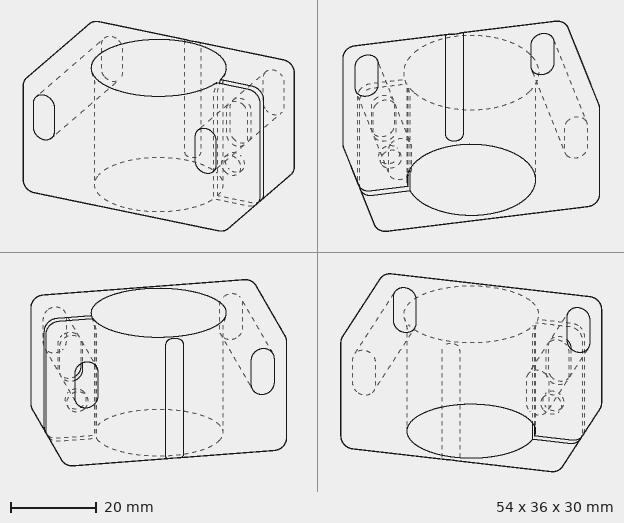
import cadquery as cq

length = 54.0
depth = 36.0
height = 30.0
corner_radius = 3.0
face_edge_radius = 1.5

bore_diameter = 30.0
lead_in_diameter = 31.55
lead_in_depth = 2.95

split_width = 1.95
split_y = -0.45

screw_diameter = 5.0
screw_x = 19.5
screw_z = -5.5

slot_width = 5.5
slot_height = 11.5
slot_x = 21.0
slot_z = 5.5

groove_diameter = 5.0
groove_depth = 1.25


def make_block():
    block = cq.Workplane("XY").box(length, depth, height)
    block = block.edges("|Y").fillet(corner_radius)
    return block.faces("<Y or >Y").edges().fillet(face_edge_radius)


def make_bore():
    bore = cq.Workplane("XY").circle(bore_diameter / 2).extrude(height, both=True)
    lead_in = cq.Solid.makeCone(
        bore_diameter / 2,
        lead_in_diameter / 2,
        lead_in_depth,
        pnt=cq.Vector(0, 0, height / 2 - lead_in_depth),
    )
    return bore.union(cq.Workplane(lead_in))


def make_split():
    split = cq.Workplane("XY").box(length, split_width, height, centered=(False, True, True))
    return split.translate((0, split_y, 0))


def make_screw():
    screw = cq.Workplane("XZ").center(screw_x, screw_z).circle(screw_diameter / 2)
    return screw.extrude(2 * split_width).translate((0, split_y + split_width, 0))


def make_slots():
    slots = cq.Workplane("XZ").pushPoints([(-slot_x, slot_z), (slot_x, slot_z)])
    return slots.slot2D(slot_height, slot_width, 90).extrude(depth, both=True)


def make_groove():
    groove_y = depth / 2 + groove_diameter / 2 - groove_depth
    groove = cq.Workplane("XY").center(0, groove_y).circle(groove_diameter / 2)
    return groove.extrude(height, both=True)


result = (
    make_block()
    .cut(make_bore())
    .cut(make_split())
    .cut(make_slots())
    .cut(make_groove())
    .union(make_screw())
)